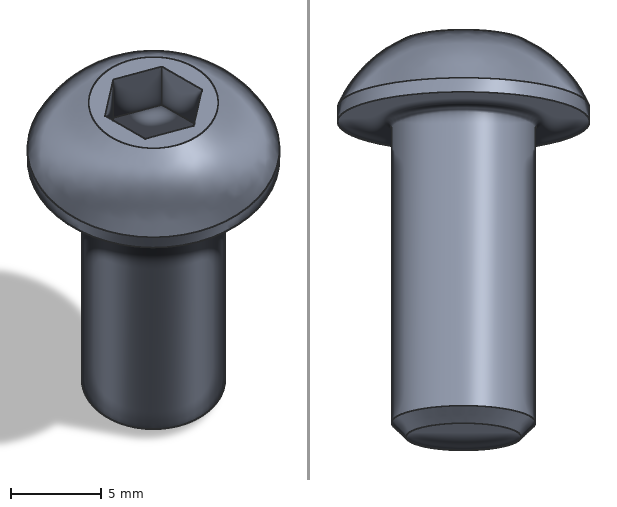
import cadquery as cq
import math

total_length = 22.4
head_diameter = 14.0
head_height = 4.4
shank_diameter = 8.0

rim_height = 0.8
crown_flat_diameter = 7.2
dome_radius = 7.3

tip_chamfer = 0.8
neck_radius = 0.4

socket_across_flats = 5.0
socket_depth = 3.0

head_radius = head_diameter / 2
crown_radius = crown_flat_diameter / 2
shank_radius = shank_diameter / 2
shank_length = total_length - head_height


def arc_middle(start, end, radius):
    """Middle of the minor arc from start to end, bulging to the right of the travel direction."""
    dx = end[0] - start[0]
    dz = end[1] - start[1]
    chord = math.hypot(dx, dz)
    bulge = radius - math.sqrt(radius**2 - (chord / 2) ** 2)
    middle_x = (start[0] + end[0]) / 2 + bulge * dz / chord
    middle_z = (start[1] + end[1]) / 2 - bulge * dx / chord
    return middle_x, middle_z


def make_body():
    """Head and shank as one revolved half-profile."""
    rim_top = (head_radius, rim_height)
    crown_edge = (crown_radius, head_height)
    neck_top = (shank_radius + neck_radius, 0)
    neck_bottom = (shank_radius, -neck_radius)
    neck_middle = arc_middle(neck_top, neck_bottom, neck_radius)
    profile = (
        cq.Workplane("XZ")
        .moveTo(0, head_height)
        .lineTo(0, -shank_length)
        .lineTo(shank_radius - tip_chamfer, -shank_length)
        .lineTo(shank_radius, tip_chamfer - shank_length)
        .lineTo(*neck_bottom)
        .threePointArc(neck_middle, neck_top)
        .lineTo(head_radius, 0)
        .lineTo(*rim_top)
        .threePointArc(arc_middle(rim_top, crown_edge, dome_radius), crown_edge)
        .close()
    )
    return profile.revolve(360, (0, 0, 0), (0, 1, 0))


def make_socket():
    """Hexagonal prism with two corners on the Y axis."""
    across_corners = socket_across_flats / math.cos(math.pi / 6)
    return (
        cq.Workplane("XY")
        .workplane(offset=head_height - socket_depth)
        .transformed(rotate=(0, 0, 90))
        .polygon(6, across_corners)
        .extrude(socket_depth)
    )


result = make_body().cut(make_socket())